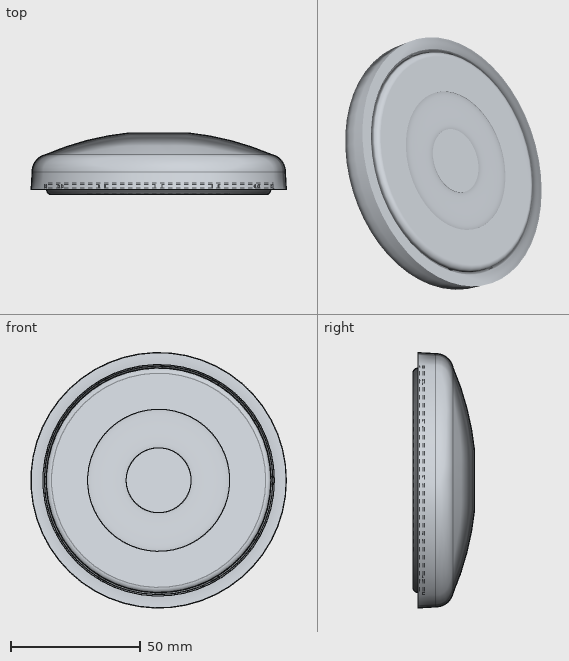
import cadquery as cq
import math

rim_radius = 49.5
skirt_depth = 6.8
skirt_top_radius = 49.1
shoulder_mid_radius = 47.4
shoulder_mid_depth = 11.4
shoulder_radius = 43.6
crown_depth = 22.0
crown_radius = 11.4
dome_radius = 110.9

recess_mouth_radius = 44.8
recess_radius = 44.3
recess_taper_depth = 0.6
recess_depth = 2.6

ridge_count = 12
ridge_size = 0.7
ridge_gap = 2.8
ridge_depth = recess_taper_depth + ridge_size

plate_radius = 43.5
plate_projection = 2.0
plate_edge_fillet = 2.0

groove_outer_radius = 27.5
groove_inner_radius = 12.6
groove_depth = 0.3

AXIS_START = (0, 0, 0)
AXIS_END = (0, 1, 0)


def dome_depth_at(radius):
    """Depth of the spherical dome surface at a distance from the Y axis."""
    center_depth = crown_depth - math.sqrt(dome_radius**2 - crown_radius**2)
    return center_depth + math.sqrt(dome_radius**2 - radius**2)


def disc(radius, front_y, back_y):
    """Cylinder about the Y axis between two Y positions."""
    return cq.Workplane("XZ", origin=(0, front_y, 0)).circle(radius).extrude(front_y - back_y)


def make_dome_body():
    """Solid with a tapered skirt, a round shoulder and a flat-topped dome."""
    dome_mid_radius = (shoulder_radius + crown_radius) / 2
    return (
        cq.Workplane("XY")
        .lineTo(rim_radius, 0)
        .lineTo(skirt_top_radius, skirt_depth)
        .threePointArc(
            (shoulder_mid_radius, shoulder_mid_depth),
            (shoulder_radius, dome_depth_at(shoulder_radius)),
        )
        .threePointArc(
            (dome_mid_radius, dome_depth_at(dome_mid_radius)),
            (crown_radius, crown_depth),
        )
        .lineTo(0, crown_depth)
        .close()
        .revolve(360, AXIS_START, AXIS_END)
    )


def make_recess():
    """Cutter for the recess: a tapered mouth above a straight wall."""
    return (
        cq.Workplane("XY")
        .lineTo(recess_mouth_radius, 0)
        .lineTo(recess_radius, recess_taper_depth)
        .lineTo(recess_radius, recess_depth)
        .lineTo(0, recess_depth)
        .close()
        .revolve(360, AXIS_START, AXIS_END)
    )


def make_ridge(middle_angle):
    """One snap ridge, centred on an angle about the Y axis and rooted in the recess wall."""
    span = 360 / ridge_count - math.degrees(ridge_gap / recess_radius)
    root_radius = recess_radius + ridge_size
    ridge_front = ridge_depth - ridge_size
    ridge_back = ridge_depth + ridge_size
    return (
        cq.Workplane("XY")
        .moveTo(root_radius, ridge_front)
        .lineTo(recess_radius, ridge_front)
        .threePointArc((recess_radius - ridge_size, ridge_depth), (recess_radius, ridge_back))
        .lineTo(root_radius, ridge_back)
        .close()
        .revolve(span, AXIS_START, AXIS_END)
        .rotate(AXIS_START, AXIS_END, middle_angle - span / 2)
    )


def make_housing():
    """Domed body with the plate recess and its ring of snap ridges."""
    body = make_dome_body().cut(make_recess())
    pitch = 360 / ridge_count
    for index in range(ridge_count):
        body = body.union(make_ridge((index + 0.5) * pitch))
    return body


def make_plate():
    """Round-edged disc with a shallow ring groove, seated on the recess floor."""
    plate = disc(plate_radius, -plate_projection, recess_depth)
    plate = plate.faces("<Y").edges().fillet(plate_edge_fillet)
    groove_floor = groove_depth - plate_projection
    groove = disc(groove_outer_radius, -plate_projection, groove_floor)
    groove = groove.cut(disc(groove_inner_radius, -plate_projection, groove_floor))
    return plate.cut(groove)


housing = make_housing()
plate = make_plate()
result = cq.Compound.makeCompound([housing.solids().val(), plate.solids().val()])